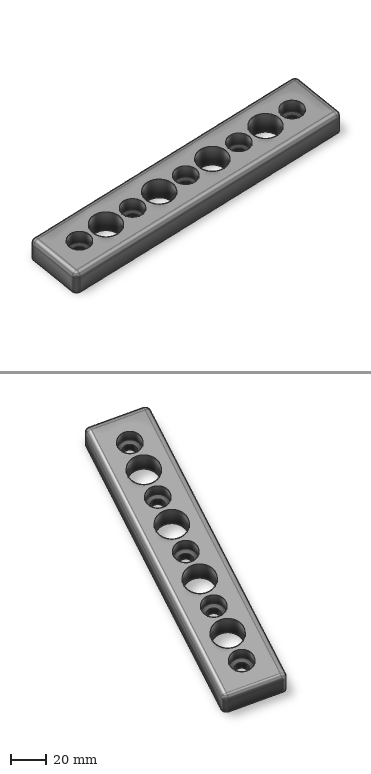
import cadquery as cq

length = 200.0
width = 40.0
height = 15.0
edge_radius = 3.5

large_hole_count = 4
bolt_hole_count = large_hole_count + 1
pitch = length / bolt_hole_count
large_hole_diameter = 20.0
bolt_hole_diameter = 9.0
counterbore_diameter = 15.0
counterbore_depth = 9.0


def row_centres(count):
    """Points spaced by the pitch along Y, centred on the bar."""
    return [(0, (i - (count - 1) / 2) * pitch) for i in range(count)]


bar = cq.Workplane("XY").box(width, length, height, centered=(True, True, False))
bar = bar.edges("|Z or >Z").fillet(edge_radius)

bar = (
    bar.faces(">Z")
    .workplane(origin=(0, 0, height))
    .pushPoints(row_centres(large_hole_count))
    .hole(large_hole_diameter)
)

result = (
    bar.faces(">Z")
    .workplane(origin=(0, 0, height))
    .pushPoints(row_centres(bolt_hole_count))
    .cboreHole(bolt_hole_diameter, counterbore_diameter, counterbore_depth)
)